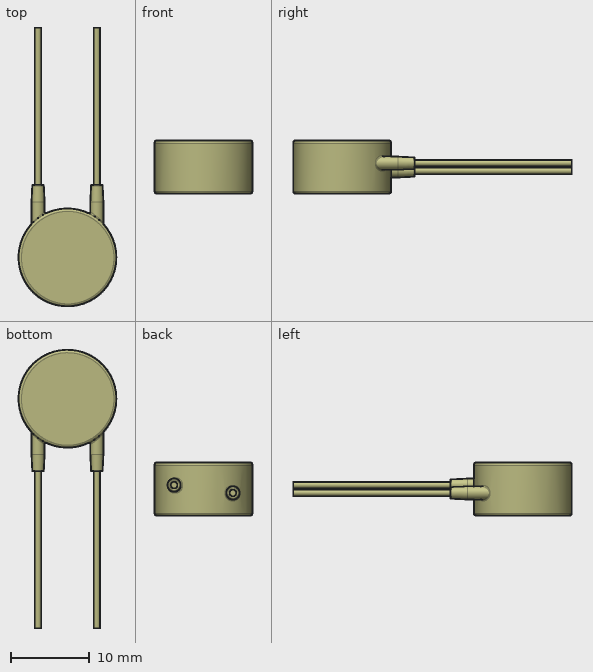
import cadquery as cq

body_diameter = 12.5
body_height = 6.8
body_edge_radius = 0.35

overall_length = 35.5
wire_tip_y = overall_length - body_diameter / 2

lead_spacing = 7.5
lead_offset_x = lead_spacing / 2
lead_offset_z = 0.5
wire_radius = 0.43

sleeve_radius = 0.85
sleeve_tip_radius = 0.75
taper_start_y = 7.05
sleeve_tip_y = 9.23
sleeve_tip_rounding = 0.1
sleeve_root_fillet = 0.15


def make_body():
    """Cylinder with rounded top and bottom rims."""
    body = cq.Workplane("XY").cylinder(body_height, body_diameter / 2)
    return body.edges("%CIRCLE").fillet(body_edge_radius)


def revolve_lead(profile, x, z):
    """Revolve a (radius, y) outline about Y and move its axis to x, z."""
    outline = cq.Workplane("XY").polyline(profile).close()
    return outline.revolve(360, (0, 0, 0), (0, 1, 0)).translate((x, 0, z))


def make_sleeve(x, z):
    profile = [
        (0, 0),
        (sleeve_radius, 0),
        (sleeve_radius, taper_start_y),
        (sleeve_tip_radius, sleeve_tip_y),
        (0, sleeve_tip_y),
    ]
    return revolve_lead(profile, x, z).faces(">Y").edges().fillet(sleeve_tip_rounding)


def make_wire(x, z):
    profile = [(0, 0), (wire_radius, 0), (wire_radius, wire_tip_y), (0, wire_tip_y)]
    return revolve_lead(profile, x, z)


def is_sleeve_root(edge):
    """True for the curved seam where a sleeve meets the body wall."""
    return edge.geomType() not in ("CIRCLE", "LINE")


lead_positions = [(-lead_offset_x, -lead_offset_z), (lead_offset_x, lead_offset_z)]

result = make_body()
for x, z in lead_positions:
    result = result.union(make_sleeve(x, z))

root_edges = [edge for edge in result.edges().vals() if is_sleeve_root(edge)]
result = result.newObject(root_edges).fillet(sleeve_root_fillet)

for x, z in lead_positions:
    result = result.union(make_wire(x, z))